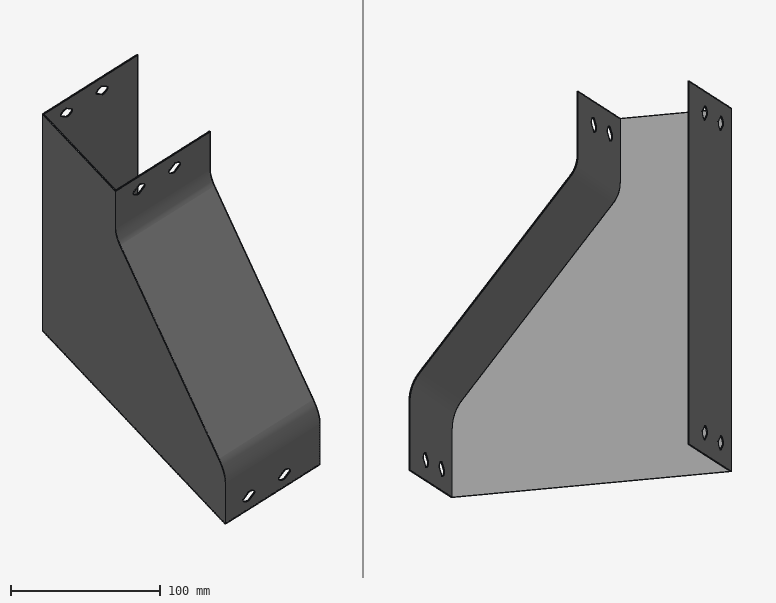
import cadquery as cq
import math

base_width = 200.0
top_width = 80.0
depth = 80.0
height = 250.0
sheet = 0.8

slope_bottom_z = 58.3
slope_top_z = 198.3
lower_bend_radius = 30.0
upper_bend_radius = 20.0

hole_diameter = 10.0
hole_flat_width = 7.0
hole_angle = 45.0
hole_end_offset = 15.0
front_hole_y = 20.0
back_hole_y = 50.0
stepped_back_hole_drop = 1.0


def make_block():
    """Solid block with the reducer outline, from the front face to the back."""
    block = (
        cq.Workplane("XZ")
        .polyline(
            [
                (0, 0),
                (base_width, 0),
                (base_width, slope_bottom_z),
                (top_width, slope_top_z),
                (top_width, height),
                (0, height),
            ]
        )
        .close()
        .extrude(-depth)
    )
    lower_bend = cq.selectors.NearestToPointSelector((base_width, depth / 2, slope_bottom_z))
    upper_bend = cq.selectors.NearestToPointSelector((top_width, depth / 2, slope_top_z))
    block = block.edges(lower_bend).fillet(lower_bend_radius)
    return block.edges(upper_bend).fillet(upper_bend_radius)


def make_channel():
    """Front plate with two side walls, open at the bottom, top and back."""
    return make_block().faces("<Z or >Z or >Y").shell(-sheet)


def make_hole(wall_x, y, z, angle):
    """Cutter for one double-flat hole; the angle turns its flats from +Y towards +Z."""
    half_flat = hole_flat_width / 2
    half_chord = math.sqrt((hole_diameter / 2) ** 2 - half_flat**2)
    return (
        cq.Workplane("YZ", origin=(wall_x, y, z))
        .transformed(rotate=(0, 0, angle))
        .moveTo(-half_chord, -half_flat)
        .lineTo(half_chord, -half_flat)
        .threePointArc((hole_diameter / 2, 0), (half_chord, half_flat))
        .lineTo(-half_chord, half_flat)
        .threePointArc((-hole_diameter / 2, 0), (-half_chord, -half_flat))
        .close()
        .extrude(2 * sheet, both=True)
    )


def cut_holes(channel):
    """Cut two holes at both ends of both side walls."""
    bottom_z = hole_end_offset
    top_z = height - hole_end_offset
    for z, stepped_wall_x in ((bottom_z, base_width), (top_z, top_width)):
        for y, drop in ((front_hole_y, 0), (back_hole_y, stepped_back_hole_drop)):
            channel = channel.cut(make_hole(0, y, z, -hole_angle))
            channel = channel.cut(make_hole(stepped_wall_x, y, z - drop, hole_angle))
    return channel


result = cut_holes(make_channel())